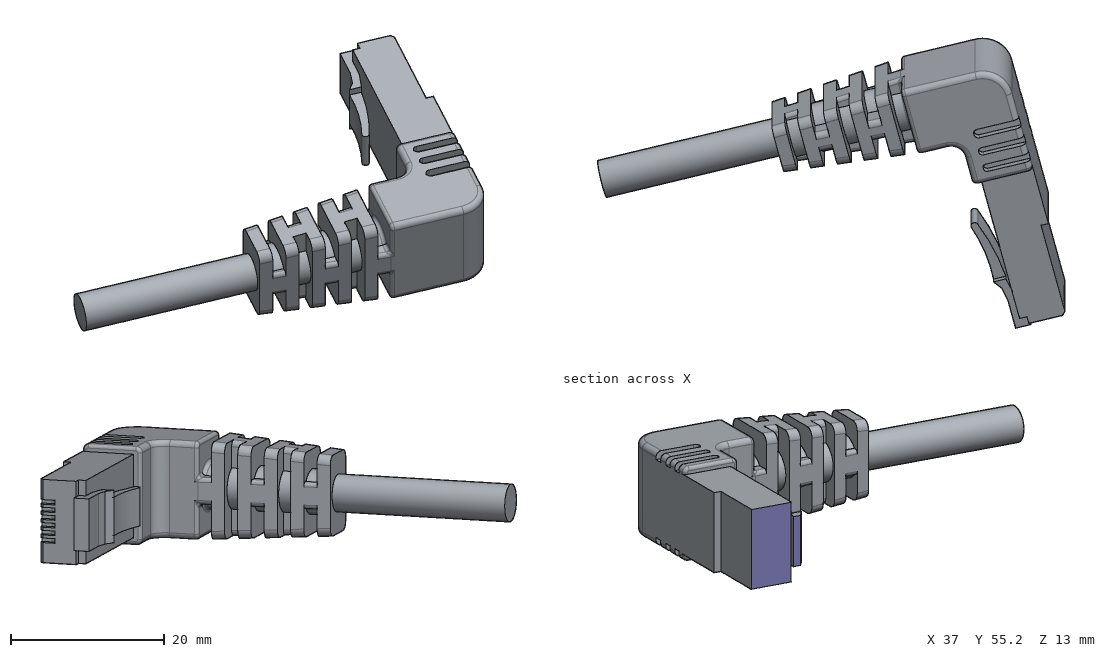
import cadquery as cq


latch_left = -32.4
cable_end = -55.25

latch_overhang = 1.0
plug_left = latch_left + latch_overhang
plug_height = 11.05
plug_step_x = -18.45
plug_step = 1.0
plug_bottom = -6.95
plug_nose_chamfer = 0.45
plug_notch_depth = 1.0
plug_notch_x = plug_left + plug_notch_depth
plug_tail_x = -9.45

contact_count = 6
contact_row = 5.1
contact_pitch = contact_row / (contact_count - 1)
contact_width = 0.6
contact_depth = 0.85
contact_bottom = -3.05
contact_round = 0.65

latch_top = plug_bottom + plug_notch_depth
latch_bottom = -8.0
latch_height = 6.95
lever_root_x = -25.35
lever_height = 5.1
lever_root_top = (lever_root_x, -7.5)
lever_root_bottom = (lever_root_x, -9.2)
lever_top_mid = (-21.15, -8.1)
lever_tip_top = (-17.4, -9.25)
lever_tip = (-17.1, -9.8)
lever_tip_bottom = (-17.65, -10.15)
lever_bottom_mid = (-21.15, -9.35)
hook_neck_x = -27.85
hook_ramp_start = (-28.35, latch_bottom)
hook_ramp_bend = (-26.55, -8.35)

boot_left = -10.45
boot_right = 4.6
leg_left = -boot_right
boot_bottom = -8.05
boot_height = 13.0
leg_end = -13.95
outer_bend_radius = 3.9
inner_bend_radius = 1.95
boot_edge_radius = 0.8
boot_rim_radius = 0.5

groove_places = (-8.5, -6.15, -3.6)
groove_widths = (1.05, 1.05, 1.2)
groove_end = -6.2
groove_depth = 1.1
groove_round = 0.49

relief_end = -31.6
relief_segments = 10
segment_length = (leg_end - relief_end) / relief_segments
last_ring_middle = relief_end + segment_length / 2
relief_root = leg_end + boot_rim_radius
relief_half_x_start = boot_right
relief_half_x_end = 3.25
relief_half_z_start = 6.6
relief_half_z_end = 5.35
relief_corner = 1.2
core_half_x = 3.25
core_half_z = 3.0
core_root_radius = 0.5
side_spine_half = 1.75
side_spine_round = 0.55
face_spine_half = 1.3
face_spine_round = 0.8
cable_radius = 2.5


def box(x_min, x_max, y_min, y_max, height):
    """Box centred on the mid plane in Z."""
    size = (x_max - x_min, y_max - y_min, height)
    centre = ((x_min + x_max) / 2, (y_min + y_max) / 2, 0)
    return cq.Workplane("XY").box(*size).translate(centre)


def make_plug():
    outline = [
        (plug_left, -plug_step),
        (plug_step_x, -plug_step),
        (plug_step_x, 0),
        (plug_tail_x, 0),
        (plug_tail_x, plug_bottom),
        (plug_notch_x, plug_bottom),
        (plug_notch_x, latch_top),
        (plug_left, latch_top),
    ]
    plug = cq.Workplane("XY").polyline(outline).close().extrude(plug_height / 2, both=True)
    nose_edge = cq.selectors.NearestToPointSelector((plug_left, -plug_step, 0))
    plug = plug.edges("|Z").edges(nose_edge).chamfer(plug_nose_chamfer)

    pocket = box(plug_left - contact_depth, plug_left + contact_depth, contact_bottom, 0, contact_width)
    pocket = pocket.edges("|Z and >X and <Y").fillet(contact_round)
    for i in range(contact_count):
        z = (i - (contact_count - 1) / 2) * contact_pitch
        plug = plug.cut(pocket.translate((0, 0, z)))
    return plug


def make_latch():
    """Hook at the nose, then a narrower sprung lever that bends away from the plug."""
    hook = (
        cq.Workplane("XY")
        .moveTo(latch_left, latch_top)
        .lineTo(plug_notch_x, latch_top)
        .lineTo(plug_notch_x, plug_bottom)
        .lineTo(hook_neck_x, plug_bottom)
        .lineTo(*lever_root_top)
        .lineTo(*lever_root_bottom)
        .lineTo(*hook_ramp_bend)
        .lineTo(*hook_ramp_start)
        .lineTo(latch_left, latch_bottom)
        .close()
        .extrude(latch_height / 2, both=True)
    )
    lever = (
        cq.Workplane("XY")
        .moveTo(*lever_root_top)
        .threePointArc(lever_top_mid, lever_tip_top)
        .threePointArc(lever_tip, lever_tip_bottom)
        .threePointArc(lever_bottom_mid, lever_root_bottom)
        .close()
        .extrude(lever_height / 2, both=True)
    )
    return hook.union(lever)


def make_boot():
    boot = box(boot_left, boot_right, leg_end, 0, boot_height)
    boot = boot.cut(box(boot_left, leg_left, leg_end, boot_bottom, boot_height))
    boot = boot.edges("|Z and >X and >Y").fillet(outer_bend_radius)
    inner_edge = cq.selectors.NearestToPointSelector((leg_left, boot_bottom, 0))
    boot = boot.edges("|Z").edges(inner_edge).fillet(inner_bend_radius)
    mouth_or_end = cq.selectors.StringSyntaxSelector("<X or <Y")
    long_edges = boot.faces("<Z or >Z").edges().edges(cq.selectors.InverseSelector(mouth_or_end))
    boot = long_edges.fillet(boot_edge_radius)
    boot = boot.faces("<X or <Y").edges().fillet(boot_rim_radius)

    for x, width in zip(groove_places, groove_widths):
        groove = box(x - width / 2, x + width / 2, groove_end, width, 2 * groove_depth)
        groove = groove.edges("|Z and <Y").fillet(groove_round * width)
        for side in (-1, 1):
            boot = boot.cut(groove.translate((0, 0, side * boot_height / 2)))
    return boot


def segment_y(index):
    return leg_end - index * segment_length


def relief_half_sizes(y):
    """Half width and half height of the tapered relief at the given Y."""
    t = (leg_end - y) / (leg_end - relief_end)
    half_x = relief_half_x_start + t * (relief_half_x_end - relief_half_x_start)
    half_z = relief_half_z_start + t * (relief_half_z_end - relief_half_z_start)
    return half_x, half_z


def tapered_bar(y_start, y_end, start_half, end_half, corner):
    """Bar along -Y with rounded corners, from one half-size pair to another."""
    sketches = []
    for y, (half_x, half_z) in ((y_start, start_half), (y_end, end_half)):
        profile = cq.Sketch().rect(2 * half_x, 2 * half_z).vertices().fillet(corner)
        sketches.append(profile.moved(cq.Location(cq.Vector(0, 0, y_start - y))))
    plane = cq.Plane(origin=(0, y_start, 0), xDir=(1, 0, 0), normal=(0, -1, 0))
    return cq.Workplane(plane).placeSketch(*sketches).loft()


def make_ring(y_start, y_end):
    return tapered_bar(
        y_start, y_end, relief_half_sizes(y_start), relief_half_sizes(y_end), relief_corner
    )


def make_side_spine(y_start, y_end):
    """Web that joins two rings on the -X and +X sides."""
    start_half = (relief_half_sizes(y_start)[0], side_spine_half)
    end_half = (relief_half_sizes(y_end)[0], side_spine_half)
    return tapered_bar(y_start, y_end, start_half, end_half, side_spine_round)


def make_face_spine(y_start, y_end):
    """Web that joins two rings on the -Z and +Z sides; its (+X, +Z) corner is sharp."""
    start_half = (face_spine_half, relief_half_sizes(y_start)[1])
    end_half = (face_spine_half, relief_half_sizes(y_end)[1])
    rounded = tapered_bar(y_start, y_end, start_half, end_half, face_spine_round)
    sharp_corner = (
        cq.Workplane("YZ")
        .polyline([(y_start, 0), (y_start, start_half[1]), (y_end, end_half[1]), (y_end, 0)])
        .close()
        .extrude(face_spine_half)
    )
    return rounded.union(sharp_corner)


def add_core(boot):
    """Oval core of the strain relief and its first web, blended into the end of the boot."""
    length = relief_root - last_ring_middle
    core = cq.Workplane("XZ", origin=(0, relief_root, 0)).ellipse(core_half_x, core_half_z).extrude(length)
    end_half = (relief_half_sizes(leg_end)[0], side_spine_half)
    web_root = tapered_bar(relief_root, leg_end, end_half, end_half, side_spine_round)
    joined = boot.union(core).union(web_root).union(make_side_spine(segment_y(0), segment_y(1)))

    root_edges = []
    for side in (-1, 1):
        for point in (
            (0, leg_end, side * core_half_z),
            (-core_half_x, leg_end, side * side_spine_half),
            (core_half_x, leg_end, side * side_spine_half),
        ):
            root_edges += joined.edges(cq.selectors.NearestToPointSelector(point)).vals()
    return joined.newObject(root_edges).fillet(core_root_radius)


def make_strain_relief():
    """Alternating rings and gaps after the first web; webs bridge sides and faces in turn."""
    relief = cq.Workplane("XY")
    for i in range(1, relief_segments):
        y_start = segment_y(i)
        y_end = segment_y(i + 1)
        if i % 2 == 1:
            segment = make_ring(y_start, y_end)
        elif i % 4 == 0:
            segment = make_side_spine(y_start, y_end)
        else:
            segment = make_face_spine(y_start, y_end)
        relief = relief.add(segment)
    return relief.combine()


def make_cable():
    length = last_ring_middle - cable_end
    return cq.Workplane("XZ", origin=(0, last_ring_middle, 0)).circle(cable_radius).extrude(length)


result = add_core(make_boot())
result = result.union(make_plug()).union(make_latch()).union(make_strain_relief()).union(make_cable())